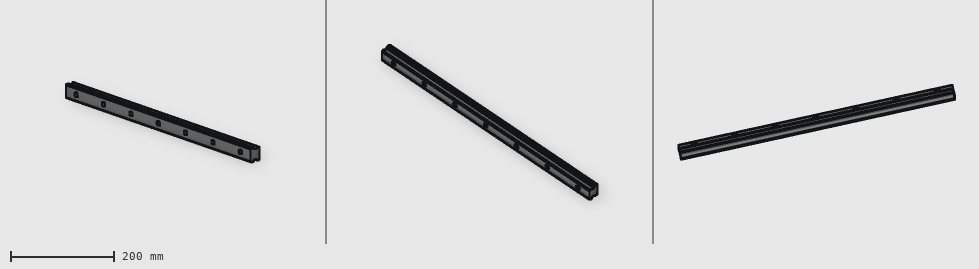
import cadquery as cq

length = 540.0
depth = 23.0
height = 28.0

front_chamfer = 1.5
front_land_end = 7.0
groove_floor_start = 10.0
groove_recess = 3.0

back_edge_drop = 2.0
crest_arc_outer = 2.5
crest_arc_outer_drop = 0.85
crest_flat_outer = 4.5
crest_flat_inner = 5.0
crest_arc_inner = 6.0
crest_arc_inner_drop = 0.5
groove_fillet_start = 7.5
groove_fillet_drop = 2.6
groove_floor_end = 9.0

hole_count = 7
end_margin = 30.0
hole_pitch = (length - 2 * end_margin) / (hole_count - 1)
hole_diameter = 9.0

front = -depth / 2
back = depth / 2
top = height / 2
groove_floor = top - groove_recess


def upper_half():
    """Upper half of the rail, from the horizontal mid-plane to the top."""
    return (
        cq.Workplane("YZ", origin=(-length / 2, 0, 0))
        .moveTo(front, 0)
        .lineTo(front, top - front_chamfer)
        .lineTo(front + front_chamfer, top)
        .lineTo(front + front_land_end, top)
        .lineTo(front + groove_floor_start, groove_floor)
        .lineTo(back - groove_floor_end, groove_floor)
        .tangentArcPoint((back - groove_fillet_start, top - groove_fillet_drop), relative=False)
        .lineTo(back - crest_arc_inner, top - crest_arc_inner_drop)
        .tangentArcPoint((back - crest_flat_inner, top), relative=False)
        .lineTo(back - crest_flat_outer, top)
        .tangentArcPoint((back - crest_arc_outer, top - crest_arc_outer_drop), relative=False)
        .lineTo(back, top - back_edge_drop)
        .lineTo(back, 0)
        .close()
        .extrude(length)
    )


def mounting_holes():
    """Row of through holes along the centre line, centred on the rail."""
    return (
        cq.Workplane("XZ", origin=(0, back, 0))
        .rarray(hole_pitch, 5.5, hole_count, 1)
        .circle(hole_diameter / 2)
        .extrude(depth)
    )


half = upper_half()
rail = half.union(half.mirror("XY")).clean()
result = rail.cut(mounting_holes())